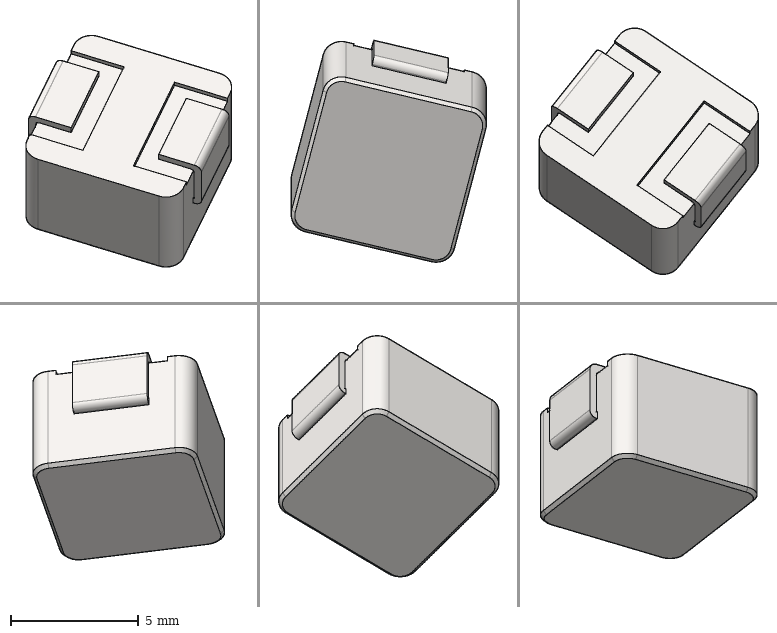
import cadquery as cq

overall_length = 7.3
overall_height = 4.8

housing_width = 6.6
housing_height = 4.6
corner_radius = 0.745
bottom_chamfer = 0.145

pocket_length = 2.235
pocket_width = 4.48
pocket_depth = 0.2

terminal_thickness = 0.31
terminal_width = 3.01
terminal_reach = 1.8
terminal_drop = 2.42
outer_bend_radius = 0.3
inner_bend_radius = 0.18

half_length = overall_length / 2
half_width = housing_width / 2


def make_housing():
    """Rounded block with a chamfered bottom edge and two top pockets."""
    block = (
        cq.Workplane("XY")
        .box(housing_width, housing_width, housing_height, centered=(True, True, False))
        .edges("|Z")
        .fillet(corner_radius)
        .faces("<Z")
        .edges()
        .chamfer(bottom_chamfer)
    )
    for side in (-1, 1):
        pocket = (
            cq.Workplane("XY")
            .box(pocket_length, pocket_width, pocket_depth, centered=(True, True, False))
            .translate((side * (half_width - pocket_length / 2), 0, housing_height - pocket_depth))
        )
        block = block.cut(pocket)
    return block


def make_terminal(side):
    """C-shaped strip on the -X (side = -1) or +X (side = 1) end of the housing."""
    outer_x = side * half_length
    inner_x = side * (half_length - terminal_thickness)
    tip_x = side * (half_length - terminal_reach)
    housing_face_x = side * half_width
    top_z = overall_height
    underside_z = top_z - terminal_thickness
    bottom_z = top_z - terminal_drop
    foot_top_z = bottom_z + terminal_thickness

    strip = (
        cq.Workplane("XZ")
        .moveTo(tip_x, top_z)
        .lineTo(outer_x, top_z)
        .lineTo(outer_x, bottom_z)
        .lineTo(housing_face_x, bottom_z)
        .lineTo(housing_face_x, foot_top_z)
        .lineTo(inner_x, foot_top_z)
        .lineTo(inner_x, underside_z)
        .lineTo(tip_x, underside_z)
        .close()
        .extrude(terminal_width / 2, both=True)
    )
    outer_face = ">X" if side > 0 else "<X"
    strip = strip.faces(outer_face).edges("|Y").fillet(outer_bend_radius)
    inner_corner = cq.selectors.NearestToPointSelector((inner_x, 0, underside_z))
    return strip.edges("|Y").edges(inner_corner).fillet(inner_bend_radius)


housing = make_housing()
terminals = [make_terminal(side) for side in (-1, 1)]

result = cq.Compound.makeCompound([housing.val(), *[terminal.val() for terminal in terminals]])